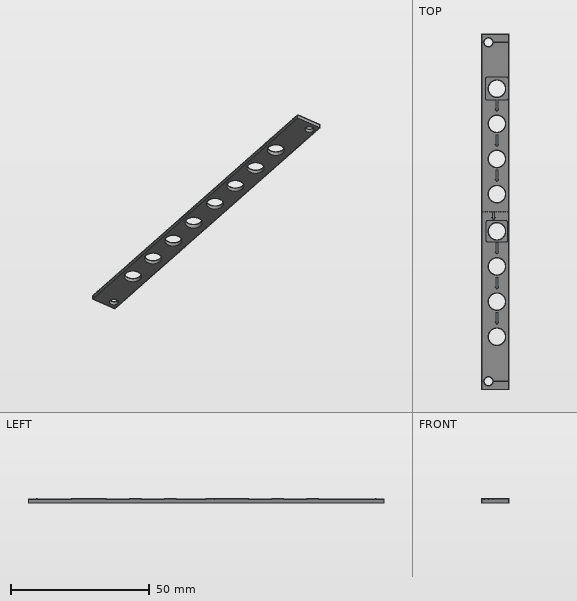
import cadquery as cq

PANEL_WIDTH = 9.8
PANEL_LENGTH = 128.5
PLATE_THICKNESS = 1.5
RELIEF_HEIGHT = 0.2
RELIEF_TOP = PLATE_THICKNESS + RELIEF_HEIGHT
LEFT_EDGE = -PANEL_WIDTH / 2
TOP_EDGE = PANEL_LENGTH / 2

MOUNT_DIAMETER = 3.2
MOUNT_X = LEFT_EDGE + 2.45
MOUNT_END_DISTANCE = 3.0
MOUNT_YS = (TOP_EDGE - MOUNT_END_DISTANCE, MOUNT_END_DISTANCE - TOP_EDGE)
MOUNT_LINE_WIDTH = 0.3

JACK_DIAMETER = 6.2
JACK_X = LEFT_EDGE + 5.5
JACK_PITCH = 12.7
JACKS_PER_GROUP = 4
UPPER_GROUP_Y = TOP_EDGE - 19.75
LOWER_GROUP_Y = TOP_EDGE - 71.3

UPPER_PAD_SIZE = 8.3
LOWER_PAD_SIZE = 7.8
PAD_CORNER_RADIUS = 0.7

ARROW_STEM_WIDTH = 0.8
ARROW_HEAD_WIDTH = 1.3
ARROW_HEAD_LENGTH = 0.8
ARROW_START_GAP = 4.0
ARROW_TIP_GAP = 4.5

DIVIDER_Y = TOP_EDGE - 64.25
DASH_LENGTH = 0.16
DASH_WIDTH = 0.3
DASH_COUNT = 12
DASH_END_DISTANCE = 0.4
DIVIDER_ARROW_X = LEFT_EDGE + 4.25
DIVIDER_ARROW_LENGTH = 2.9


def raised_box(x, y, size_x, size_y):
    """Return a block from the plate's underside to the relief's top, centred on (x, y)."""
    return (
        cq.Workplane("XY")
        .box(size_x, size_y, RELIEF_TOP, centered=(True, True, False))
        .translate((x, y, 0))
    )


def pad(y, size):
    """Return a raised square pad with rounded corners around a jack."""
    return raised_box(JACK_X, y, size, size).edges("|Z").fillet(PAD_CORNER_RADIUS)


def arrow(x, start_y, tip_y):
    """Return a raised arrow from start_y down to tip_y."""
    half_stem = ARROW_STEM_WIDTH / 2
    half_head = ARROW_HEAD_WIDTH / 2
    head_y = tip_y + ARROW_HEAD_LENGTH
    outline = [
        (x - half_stem, start_y),
        (x + half_stem, start_y),
        (x + half_stem, head_y),
        (x + half_head, head_y),
        (x, tip_y),
        (x - half_head, head_y),
        (x - half_stem, head_y),
    ]
    return cq.Workplane("XY").polyline(outline).close().extrude(RELIEF_TOP)


def jack_ys(first_y):
    """Return the Y positions of one group of jacks, from the top down."""
    return [first_y - i * JACK_PITCH for i in range(JACKS_PER_GROUP)]


plate = cq.Workplane("XY").box(
    PANEL_WIDTH, PANEL_LENGTH, PLATE_THICKNESS, centered=(True, True, False)
)

for mount_y in MOUNT_YS:
    plate = plate.union(raised_box(0, mount_y, PANEL_WIDTH, MOUNT_LINE_WIDTH))

for first_y, pad_size in ((UPPER_GROUP_Y, UPPER_PAD_SIZE), (LOWER_GROUP_Y, LOWER_PAD_SIZE)):
    plate = plate.union(pad(first_y, pad_size))
    for jack_y in jack_ys(first_y)[:-1]:
        tip_y = jack_y - JACK_PITCH + ARROW_TIP_GAP
        plate = plate.union(arrow(JACK_X, jack_y - ARROW_START_GAP, tip_y))

dash_pitch = (PANEL_WIDTH - 2 * DASH_END_DISTANCE) / (DASH_COUNT - 1)
for i in range(DASH_COUNT):
    dash_x = LEFT_EDGE + DASH_END_DISTANCE + i * dash_pitch
    plate = plate.union(raised_box(dash_x, DIVIDER_Y, DASH_LENGTH, DASH_WIDTH))
plate = plate.union(arrow(DIVIDER_ARROW_X, DIVIDER_Y, DIVIDER_Y - DIVIDER_ARROW_LENGTH))

jack_centres = [(JACK_X, y) for first_y in (UPPER_GROUP_Y, LOWER_GROUP_Y) for y in jack_ys(first_y)]
mount_centres = [(MOUNT_X, y) for y in MOUNT_YS]
for centres, diameter in ((jack_centres, JACK_DIAMETER), (mount_centres, MOUNT_DIAMETER)):
    holes = cq.Workplane("XY").pushPoints(centres).circle(diameter / 2).extrude(RELIEF_TOP)
    plate = plate.cut(holes)

result = plate